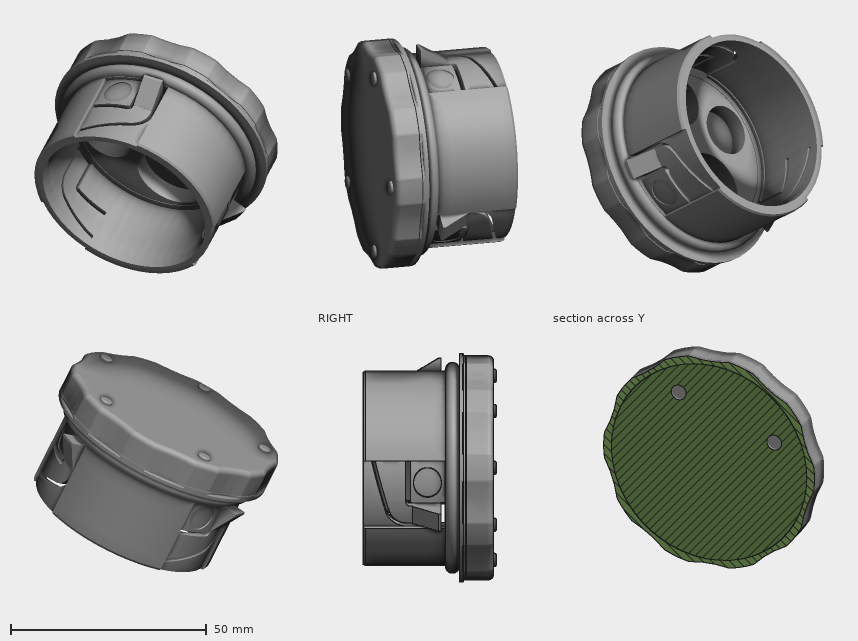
import cadquery as cq
import math


shelf_y = 20.9
ring_bottom_y = 21.0
flange_bottom_y = 24.5
flange_top_y = 25.65
spacer_top_y = 26.1
cap_rim_y = 26.35
cap_top_y = 33.3
overall_length = 34.0

flange_r = 29.2
tube_r = 25.0
bore_r = 22.4
insert_r = 20.85
flange_bevel_axial = 0.3
flange_bevel_radial = 0.2
rim_chamfer_axial = 0.6
rim_chamfer_radial = 0.35
rib_r = 22.1
rib_height = 1.0
rib_start, rib_end = -21.0, 81.7

ring_section_r = (flange_bottom_y - ring_bottom_y) / 2
ring_outer_r = 26.9
ring_center_r = ring_outer_r - ring_section_r

window_count = 3
window_r = 24.05
window_start, window_end = 81.7, 124.0
finger_half_width = 2.5
finger_tip_y = 19.9
slot_width = 0.95
bend_slot_width = 1.15
pad_corner_y = 12.05
pad_corner_r = 0.45
finger_corner_r = 1.15
curve_center_y = 11.5
curve_r = 5.1
slope_angle = 16.0
tooth_tip_r = 28.05
tooth_land = 0.65
tooth_root_y = 12.55
dimple_x, dimple_y = -8.45, 16.4
dimple_r = 3.55
dimple_depth = 0.35

insert_chamfer = 0.2
small_hole_r = 6.55
large_hole_r = 9.45
insert_holes = [
    (-5.9, 12.0, small_hole_r),
    (9.85, 9.0, small_hole_r),
    (-13.1, -2.4, small_hole_r),
    (4.6, -9.2, large_hole_r),
]

lobe_count = 10
valley_half_angle = 11.0
valley_floor_r = 28.15
lobe_edge_fillet = 1.75
cap_top_fillet = 1.45
cap_neck_r = 26.9
foot_count = 5
foot_circle_r = 24.7
foot_base_r = 1.7
foot_edge_fillet = 0.45
socket_circle_r = 19.85
socket_r = 2.0
socket_depth = 0.6
socket_angles = [115.0, 25.0]

far = 2 * flange_r


def polar(radius, angle):
    """X, Z of a point at an angle in degrees from +X toward +Z."""
    return radius * math.cos(math.radians(angle)), radius * math.sin(math.radians(angle))


def disc(radius, y_from, y_to, center=(0, 0)):
    plane = cq.Workplane("XZ", origin=(0, y_to, 0))
    return plane.center(*center).circle(radius).extrude(y_to - y_from)


def tube(outer_r, inner_r, y_from, y_to):
    return disc(outer_r, y_from, y_to).cut(disc(inner_r, y_from, y_to))


def wedge(start, end, y_from, y_to):
    """Triangular sector from the axis outward, for spans well below 180 degrees."""
    corners = [(0, 0), polar(far, start), polar(far, end)]
    return cq.Workplane("XZ", origin=(0, y_to, 0)).polyline(corners).close().extrude(y_to - y_from)


def revolved(profile):
    """Full turn about Y of a closed (radius, Y) outline."""
    return cq.Workplane("XY").polyline(profile).close().revolve(360, (0, 0), (0, 1))


def around_axis(shape, index):
    return shape.rotate((0, 0, 0), (0, 1, 0), index * 360 / window_count)


def window_recess():
    """Shallow step in the outer wall around a snap finger."""
    ring = tube(tube_r + 0.6, window_r, 0, shelf_y)
    return ring.intersect(wedge(window_start, window_end, 0, shelf_y))


def finger_slot():
    """U-shaped slot that frees the finger on three sides."""
    left = -17.5
    slope = math.radians(slope_angle)
    curve_center_x = finger_half_width - curve_r
    outer_curve_r = curve_r + slot_width
    slot_x = finger_half_width + slot_width
    bend_y = pad_corner_y - bend_slot_width

    def on_curve(radius, angle):
        return (
            curve_center_x + radius * math.cos(angle),
            curve_center_y + radius * math.sin(angle),
        )

    def run_left(point):
        return left, point[1] - (point[0] - left) * math.tan(slope)

    curve_end = slope - math.pi / 2
    inner_end = on_curve(curve_r, curve_end)
    outer_end = on_curve(outer_curve_r, curve_end)
    outline = (
        cq.Workplane("XY")
        .moveTo(left, bend_y)
        .lineTo(-finger_half_width - finger_corner_r, bend_y)
        .radiusArc((-finger_half_width, bend_y + finger_corner_r), -finger_corner_r)
        .lineTo(-finger_half_width, finger_tip_y)
        .lineTo(finger_half_width, finger_tip_y)
        .lineTo(finger_half_width, curve_center_y)
        .threePointArc(on_curve(curve_r, curve_end / 2), inner_end)
        .lineTo(*run_left(inner_end))
        .lineTo(*run_left(outer_end))
        .lineTo(*outer_end)
        .threePointArc(on_curve(outer_curve_r, curve_end / 2), (slot_x, curve_center_y))
        .lineTo(slot_x, shelf_y)
        .lineTo(-slot_x, shelf_y)
        .lineTo(-slot_x, pad_corner_y + pad_corner_r)
        .radiusArc((-slot_x - pad_corner_r, pad_corner_y), pad_corner_r)
        .lineTo(left, pad_corner_y)
        .close()
    )
    return outline.extrude(far).intersect(wedge(window_start, window_end, 0, shelf_y))


def dimple():
    """Round recess of even depth in the pad beside the finger."""
    column = cq.Workplane("XY").center(dimple_x, dimple_y).circle(dimple_r).extrude(far)
    return column.intersect(tube(tube_r, window_r - dimple_depth, 0, shelf_y))


def finger_tooth():
    """Wedge-shaped catch on the finger tip."""
    root_z = bore_r + 0.6
    profile = [
        (tooth_root_y, root_z),
        (tooth_root_y, window_r),
        (finger_tip_y - tooth_land, tooth_tip_r),
        (finger_tip_y, tooth_tip_r),
        (finger_tip_y, root_z),
    ]
    return cq.Workplane("YZ").polyline(profile).close().extrude(finger_half_width, both=True)


def flange_notches():
    """Edge bevels on the flange below the scallops of the cap."""
    bevel_y = flange_top_y - flange_bevel_axial
    bevel_r = flange_r - flange_bevel_radial
    bevel = revolved([(bevel_r, flange_top_y), (flange_r, flange_top_y), (flange_r, bevel_y)])
    pitch = 360 / lobe_count
    notches = cq.Workplane("XZ")
    for index in range(lobe_count):
        middle = (index + 0.5) * pitch
        sector = wedge(middle - valley_half_angle, middle + valley_half_angle, bevel_y, flange_top_y)
        notches = notches.add(bevel.intersect(sector))
    return notches.combine()


def make_o_ring():
    center_y = (ring_bottom_y + flange_bottom_y) / 2
    section = cq.Workplane("XY").center(ring_center_r, center_y).circle(ring_section_r)
    return section.revolve(360, (-ring_center_r, 0), (-ring_center_r, 1))


def make_housing():
    body = disc(tube_r, 0, flange_top_y).union(disc(flange_r, flange_bottom_y, flange_top_y))
    body = body.cut(disc(bore_r, 0, shelf_y)).cut(disc(insert_r, shelf_y, flange_top_y))
    body = body.cut(make_o_ring())

    rim_chamfer = [(tube_r - rim_chamfer_radial, 0), (tube_r, rim_chamfer_axial), (tube_r, 0)]
    body = body.cut(revolved(rim_chamfer)).cut(flange_notches())

    window_cut = window_recess().union(finger_slot()).union(dimple())
    for index in range(window_count):
        body = body.cut(around_axis(window_cut, index))
        body = body.union(around_axis(finger_tooth(), index))

    rib_y = shelf_y - rib_height
    rib = tube(bore_r, rib_r, rib_y, shelf_y).intersect(wedge(rib_start, rib_end, rib_y, shelf_y))
    return body.union(rib)


def make_insert():
    body = disc(insert_r, shelf_y, flange_top_y).faces("<Y").chamfer(insert_chamfer)
    for x, z, radius in insert_holes:
        body = body.cut(disc(radius, shelf_y, flange_top_y, (x, z)))
    return body


def lobed_plate(y_from, y_to):
    """Round plate with shallow scallops between its grip lobes."""
    pitch = 360 / lobe_count
    outline = cq.Workplane("XZ", origin=(0, y_to, 0)).moveTo(*polar(flange_r, valley_half_angle - pitch / 2))
    for index in range(lobe_count):
        lobe = index * pitch
        lobe_end = lobe + pitch / 2 - valley_half_angle
        next_lobe = lobe + pitch / 2 + valley_half_angle
        outline = outline.threePointArc(polar(flange_r, lobe), polar(flange_r, lobe_end))
        outline = outline.threePointArc(
            polar(valley_floor_r, lobe + pitch / 2), polar(flange_r, next_lobe)
        )
    return outline.close().extrude(y_to - y_from).edges("|Y").fillet(lobe_edge_fillet)


def make_spacer():
    return lobed_plate(flange_top_y, spacer_top_y).cut(disc(cap_neck_r, flange_top_y, spacer_top_y))


def make_cap():
    body = lobed_plate(cap_rim_y, cap_top_y).faces(">Y").edges().fillet(cap_top_fillet)
    body = body.union(disc(cap_neck_r, flange_top_y, cap_rim_y))

    for index in range(foot_count):
        angle = 180 + index * 360 / foot_count
        foot = disc(foot_base_r, cap_top_y, overall_length, polar(foot_circle_r, angle))
        body = body.union(foot.faces(">Y").edges().fillet(foot_edge_fillet))

    for angle in socket_angles:
        socket_center = polar(socket_circle_r, angle)
        body = body.cut(disc(socket_r, flange_top_y, flange_top_y + socket_depth, socket_center))
    return body


housing = make_housing()
o_ring = make_o_ring()
insert = make_insert()
spacer = make_spacer()
cap = make_cap()

result = cq.Compound.makeCompound([housing.val(), o_ring.val(), insert.val(), spacer.val(), cap.val()])